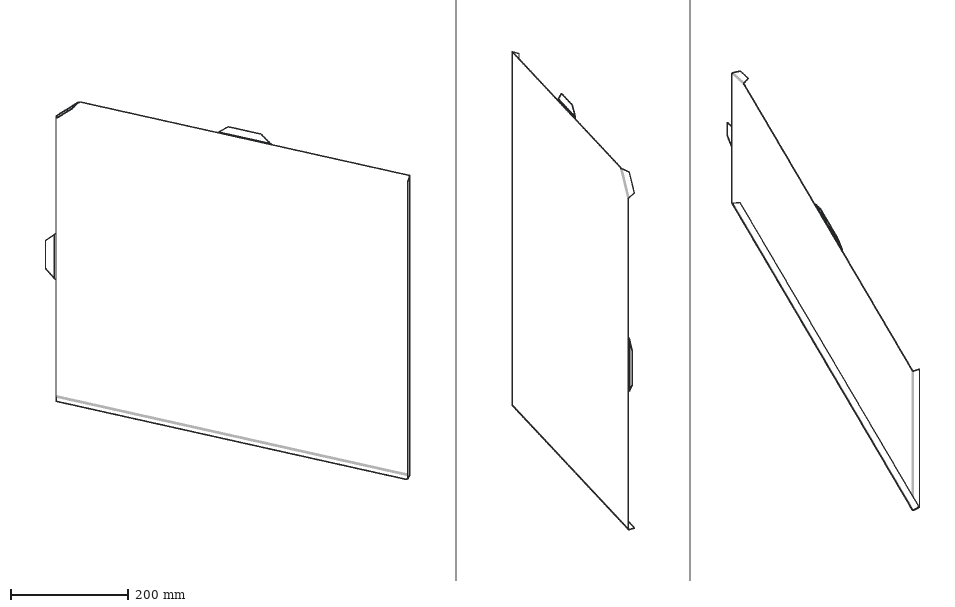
import cadquery as cq
import math

overall = 662.0
depth = 13.0
sheet = 1.0
bend_inner = 1.0
bend_outer = bend_inner + sheet
diagonal = math.sqrt(0.5)

tab_reach = 18.5
corner_cut = 41.0
right = overall / 2
bottom = -overall / 2
left = -overall / 2 + tab_reach
top = overall / 2 - tab_reach
back = depth / 2
front = -depth / 2
panel_front = back - sheet

end_taper = 5.0
corner_taper = 9.0

tab_offset = 343.0
tab_base = 99.5
tab_tip = 59.5
jog_length = 2.5


def prism(points, y_front, y_back):
    """Extrude an XZ outline between two Y positions."""
    return (
        cq.Workplane("XZ", origin=(0, y_back, 0))
        .polyline(points)
        .close()
        .extrude(y_back - y_front)
    )


def make_panel():
    """Flat sheet with a cut corner, stopping where the bends of the three walls begin."""
    cut = corner_cut + bend_outer / diagonal
    outline = [
        (left, bottom + bend_outer),
        (right - bend_outer, bottom + bend_outer),
        (right - bend_outer, top),
        (left + cut, top),
        (left, top - cut),
    ]
    return prism(outline, panel_front, back)


def make_wall(start, direction, length, first_taper, last_taper):
    """Wall bent forward along an edge, with the panel on the left of the edge direction."""
    along_x, along_z = direction
    section_plane = cq.Plane(
        origin=(start[0], back, start[1]),
        xDir=(-along_z, 0, along_x),
        normal=(along_x, 0, along_z),
    )
    middle_outer = bend_outer * (1 - diagonal)
    middle_inner = bend_outer - bend_inner * diagonal
    bent_strip = (
        cq.Workplane(section_plane)
        .moveTo(bend_outer, 0)
        .threePointArc((middle_outer, middle_outer), (0, bend_outer))
        .lineTo(0, depth)
        .lineTo(sheet, depth)
        .lineTo(sheet, bend_outer)
        .threePointArc((middle_inner, middle_inner), (bend_outer, sheet))
        .close()
        .extrude(length)
    )
    face_plane = cq.Plane(
        origin=(start[0], back, start[1]),
        xDir=(along_x, 0, along_z),
        normal=(-along_z, 0, along_x),
    )
    tapered_face = (
        cq.Workplane(face_plane)
        .polyline(
            [
                (0, 0),
                (length, 0),
                (length - last_taper, -depth),
                (first_taper, -depth),
            ]
        )
        .close()
        .extrude(bend_outer)
    )
    return bent_strip.intersect(tapered_face)


def make_top_tab():
    """Tapered tab on the top edge, stepped forward by one sheet thickness."""
    tip = top + tab_reach
    profile = [
        (back, top),
        (panel_front, top + jog_length),
        (panel_front, tip),
        (panel_front - sheet, tip),
        (panel_front - sheet, top + jog_length),
        (panel_front, top),
    ]
    middle = left + tab_offset
    strip = (
        cq.Workplane("YZ", origin=(middle - tab_base / 2, 0, 0))
        .polyline(profile)
        .close()
        .extrude(tab_base)
    )
    outline = [
        (middle + tab_base / 2, top),
        (middle + tab_tip / 2, tip),
        (middle - tab_tip / 2, tip),
        (middle - tab_base / 2, top),
    ]
    return strip.intersect(prism(outline, front, back))


bottom_wall = make_wall((left, bottom), (1, 0), right - left - bend_outer, end_taper, 0)
right_wall = make_wall(
    (right, bottom + bend_outer), (0, 1), top - bottom - bend_outer, 0, end_taper
)

corner_wall = make_wall(
    (left + corner_cut, top),
    (-diagonal, -diagonal),
    corner_cut / diagonal,
    corner_taper,
    corner_taper,
)

top_tab = make_top_tab()
left_tab = top_tab.rotate((0, 0, 0), (0, 1, 0), -90).mirror("XY")

result = make_panel()
for feature in (bottom_wall, right_wall, corner_wall, top_tab, left_tab):
    result = result.union(feature)